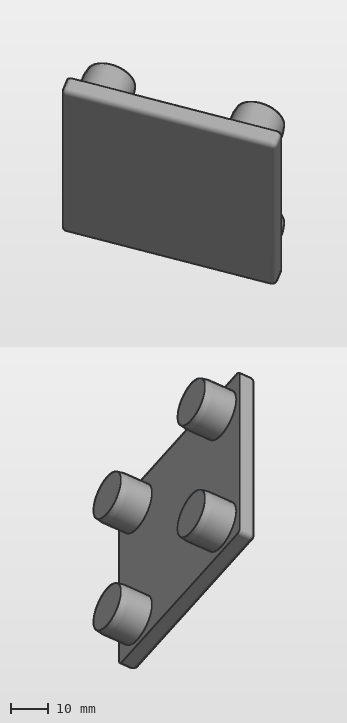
import cadquery as cq

plate_side = 60.0
plate_thickness = 5.0
edge_radius = 1.5

total_depth = 14.5
peg_radius = 7.2
peg_tip_radius = 6.85
peg_taper_length = 2.0
peg_spacing = 41.7
peg_taper_start = total_depth - peg_taper_length


def make_plate():
    """Plate with rounded corners and a rounded border around the show face."""
    plate = cq.Workplane("XY").box(
        plate_side, plate_thickness, plate_side, centered=(True, False, True)
    )
    return plate.edges("|Y or <Y").fillet(edge_radius)


def make_peg():
    """Peg revolved about the Y axis, starting on the back of the plate."""
    return (
        cq.Workplane("XY")
        .moveTo(0, plate_thickness)
        .lineTo(peg_radius, plate_thickness)
        .lineTo(peg_radius, peg_taper_start)
        .lineTo(peg_tip_radius, total_depth)
        .lineTo(0, total_depth)
        .close()
        .revolve(360, (0, 0, 0), (0, 1, 0))
    )


result = make_plate()
peg = make_peg()
for x_side in (-1, 1):
    for z_side in (-1, 1):
        peg_place = (x_side * peg_spacing / 2, 0, z_side * peg_spacing / 2)
        result = result.union(peg.translate(peg_place))